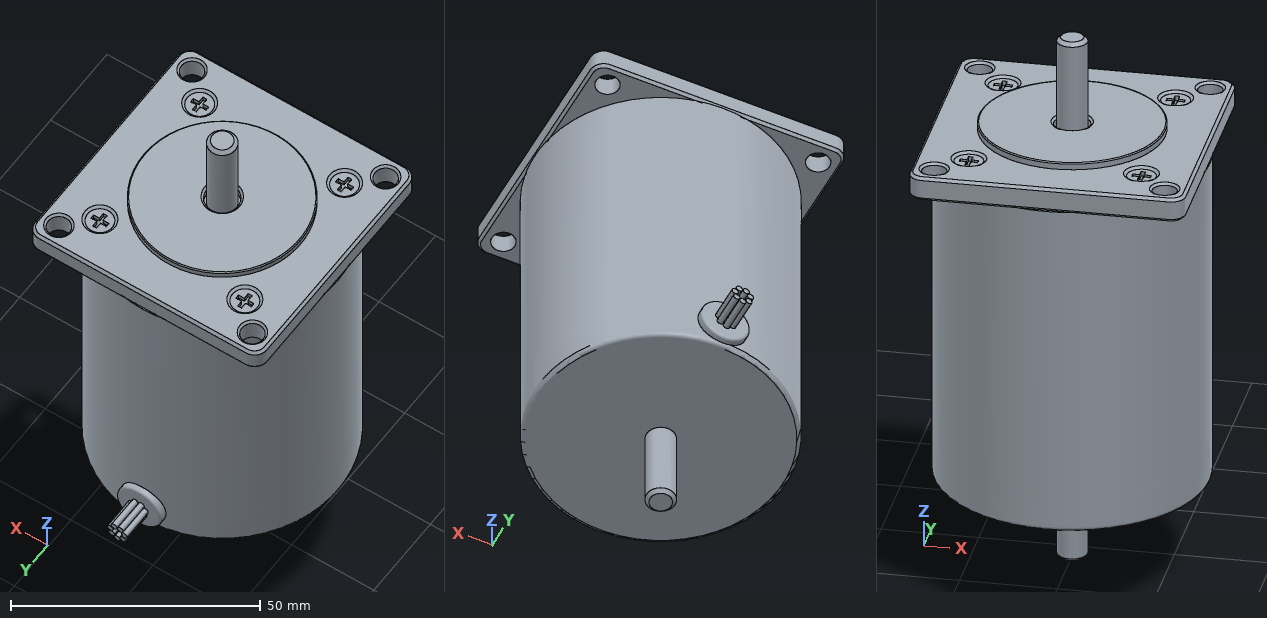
import cadquery as cq
import math

FLANGE_SIZE = 56.4
FLANGE_THICKNESS = 5.1
FLANGE_CORNER_RADIUS = 3.0
FLANGE_CHAMFER = 0.6
MOUNT_PITCH = 47.14
MOUNT_HOLE_DIAMETER = 5.1
MOUNT_HOLE_CHAMFER = 0.5

SCREW_PITCH = 35.3
SCREW_RECESS_DIAMETER = 7.2
SCREW_HEAD_DIAMETER = 6.0
SCREW_RECESS_DEPTH = 0.5
CROSS_LENGTH = 3.7
CROSS_WIDTH = 0.9
CROSS_DEPTH = 1.0

BOSS_DIAMETER = 38.1
BOSS_HEIGHT = 1.5
BOSS_CHAMFER = 0.25
SHAFT_CLEARANCE_DIAMETER = 7.5
SHAFT_CLEARANCE_DEPTH = 2.0
SHAFT_CLEARANCE_CHAMFER = 0.5

BODY_DIAMETER = FLANGE_SIZE
MOTOR_LENGTH = 76.4
CAP_LENGTH = 9.2
CAP_FILLET = 0.9

SHAFT_DIAMETER = 6.35
SHAFT_LENGTH = 115.82
SHAFT_FRONT_LENGTH = 20.4
SHAFT_CHAMFER = 0.8

GROMMET_DIAMETER = 10.7
GROMMET_PROJECTION = 1.5
GROMMET_EMBED = 3.0
GROMMET_FILLET = 0.6
GROMMET_ABOVE_BASE = 6.0
CABLE_REACH = 9.0
WIRE_COUNT = 7
WIRE_DIAMETER = 1.4
WIRE_CIRCLE_RADIUS = 1.75

BODY_RADIUS = BODY_DIAMETER / 2
BASE_Z = -MOTOR_LENGTH
CABLE_Z = BASE_Z + GROMMET_ABOVE_BASE


def cylinder(diameter, bottom_z, top_z):
    """Upright cylinder on the motor axis."""
    return cq.Workplane("XY").workplane(offset=bottom_z).circle(diameter / 2).extrude(top_z - bottom_z)


def square_points(pitch):
    """Four points at the corners of a centred square."""
    half = pitch / 2
    return [(x, y) for x in (-half, half) for y in (-half, half)]


def countersink(large_diameter, small_diameter, depth, top_z):
    """Conical cutter on the Z axis, widest at top_z."""
    cutter = cq.Workplane("XY").workplane(offset=top_z).circle(large_diameter / 2)
    return cutter.workplane(offset=-depth).circle(small_diameter / 2).loft()


def make_flange():
    plate = cq.Workplane("XY").workplane(offset=-FLANGE_THICKNESS)
    plate = plate.rect(FLANGE_SIZE, FLANGE_SIZE).extrude(FLANGE_THICKNESS)
    plate = plate.edges("|Z").fillet(FLANGE_CORNER_RADIUS)
    return plate.faces("<Z or >Z").edges().chamfer(FLANGE_CHAMFER)


def make_body():
    body = cylinder(BODY_DIAMETER, BASE_Z + CAP_LENGTH, -FLANGE_THICKNESS)
    cap = cylinder(BODY_DIAMETER, BASE_Z, BASE_Z + CAP_LENGTH)
    cap = cap.faces("<Z").edges().fillet(CAP_FILLET)
    return body, cap


def make_boss():
    boss = cylinder(BOSS_DIAMETER, -FLANGE_THICKNESS, BOSS_HEIGHT)
    return boss.faces(">Z").edges().chamfer(BOSS_CHAMFER)


def make_shaft():
    shaft = cylinder(SHAFT_DIAMETER, SHAFT_FRONT_LENGTH - SHAFT_LENGTH, SHAFT_FRONT_LENGTH)
    return shaft.faces("<Z or >Z").edges().chamfer(SHAFT_CHAMFER)


def cable_plane(y):
    """Plane facing +Y, centred on the cable axis at the given Y."""
    return cq.Workplane(cq.Plane(origin=(0, y, CABLE_Z), xDir=(1, 0, 0), normal=(0, 1, 0)))


def make_grommet():
    length = GROMMET_EMBED + GROMMET_PROJECTION
    grommet = cable_plane(BODY_RADIUS - GROMMET_EMBED).circle(GROMMET_DIAMETER / 2).extrude(length)
    return grommet.faces(">Y").edges().fillet(GROMMET_FILLET)


def make_wires():
    """Ring of parallel wires with a single wire at the lowest position."""
    step = 2 * math.pi / WIRE_COUNT
    centres = []
    for index in range(WIRE_COUNT):
        angle = index * step
        centres.append((WIRE_CIRCLE_RADIUS * math.sin(angle), WIRE_CIRCLE_RADIUS * math.cos(angle)))
    return cable_plane(BODY_RADIUS).pushPoints(centres).circle(WIRE_DIAMETER / 2).extrude(CABLE_REACH)


def make_mount_holes():
    hole = cylinder(MOUNT_HOLE_DIAMETER, -FLANGE_THICKNESS, 0)
    mouth_diameter = MOUNT_HOLE_DIAMETER + 2 * MOUNT_HOLE_CHAMFER
    hole = hole.union(countersink(mouth_diameter, MOUNT_HOLE_DIAMETER, MOUNT_HOLE_CHAMFER, 0))
    return [hole.translate((x, y, 0)) for x, y in square_points(MOUNT_PITCH)]


def make_screw_recesses():
    recess = countersink(SCREW_RECESS_DIAMETER, SCREW_HEAD_DIAMETER, SCREW_RECESS_DEPTH, 0)
    cross_depth = SCREW_RECESS_DEPTH + CROSS_DEPTH
    cross_plane = cq.Workplane("XY").workplane(offset=-cross_depth)
    for length_x, length_y in ((CROSS_LENGTH, CROSS_WIDTH), (CROSS_WIDTH, CROSS_LENGTH)):
        recess = recess.union(cross_plane.rect(length_x, length_y).extrude(cross_depth))
    return [recess.translate((x, y, 0)) for x, y in square_points(SCREW_PITCH)]


def make_shaft_clearance():
    pocket = cylinder(SHAFT_CLEARANCE_DIAMETER, BOSS_HEIGHT - SHAFT_CLEARANCE_DEPTH, BOSS_HEIGHT)
    mouth_diameter = SHAFT_CLEARANCE_DIAMETER + 2 * SHAFT_CLEARANCE_CHAMFER
    mouth = countersink(mouth_diameter, SHAFT_CLEARANCE_DIAMETER, SHAFT_CLEARANCE_CHAMFER, BOSS_HEIGHT)
    return pocket.union(mouth)


def make_motor():
    body, cap = make_body()
    motor = make_flange().union(body).union(make_boss())
    for cutter in make_mount_holes() + make_screw_recesses():
        motor = motor.cut(cutter)
    motor = motor.cut(make_shaft_clearance())
    for piece in (cap, make_shaft(), make_grommet(), make_wires()):
        motor = motor.union(piece, clean=False)
    return motor


result = make_motor()